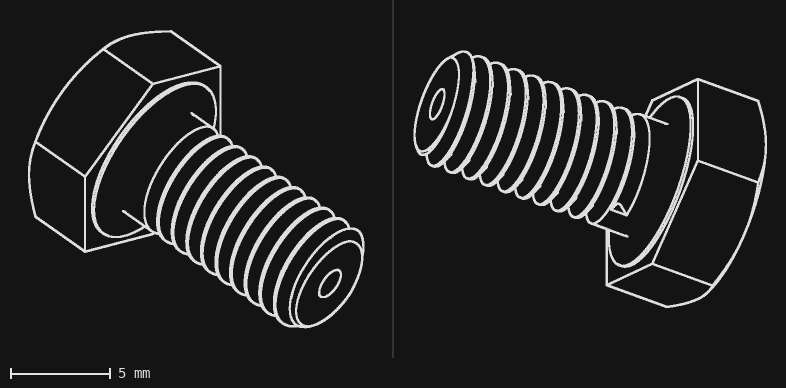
import cadquery as cq
import math

length = 16.0
across_flats = 10.0
head_height = 4.0
collar_height = 0.15
collar_diameter = 9.0
head_chamfer_angle = math.radians(30)

thread_diameter = 6.0
thread_radius = thread_diameter / 2
neck_fillet = 0.13
tip_chamfer = 0.5
hole_diameter = 1.6

pitch = 1.0
flank_angle = math.radians(30)
crest_width = pitch / 8
root_round = 0.15
thread_start = 5.75
cutter_overshoot = 0.1
shank_seam_angle = 45


def make_head():
    """Hexagonal head with points on Z and its outer corners trimmed by a cone."""
    corner_radius = across_flats / 2 / math.cos(math.pi / 6)
    hexagon_height = head_height - collar_height
    hexagon = (
        cq.Workplane("YZ")
        .polygon(6, 2 * corner_radius)
        .extrude(hexagon_height)
        .rotate((0, 0, 0), (1, 0, 0), 90)
    )
    face_radius = across_flats / 2
    cone_radius = face_radius + hexagon_height / math.tan(head_chamfer_angle)
    corner_trim = (
        cq.Workplane("XY")
        .polyline([(0, 0), (0, face_radius), (hexagon_height, cone_radius), (hexagon_height, 0)])
        .close()
        .revolve(360, (0, 0, 0), (1, 0, 0))
    )
    return hexagon.intersect(corner_trim)


def make_shank():
    """Bearing collar and plain shank, with a filleted neck and a chamfered tip."""
    collar_start = head_height - collar_height
    arc_offset = neck_fillet * (1 - math.sqrt(0.5))
    return (
        cq.Workplane("XY")
        .moveTo(collar_start, 0)
        .lineTo(collar_start, collar_diameter / 2)
        .lineTo(head_height, collar_diameter / 2)
        .lineTo(head_height, thread_radius + neck_fillet)
        .threePointArc(
            (head_height + arc_offset, thread_radius + arc_offset),
            (head_height + neck_fillet, thread_radius),
        )
        .lineTo(length - tip_chamfer, thread_radius)
        .lineTo(length, thread_radius - tip_chamfer)
        .lineTo(length, 0)
        .close()
        .revolve(360, (0, 0, 0), (1, 0, 0))
        .rotate((0, 0, 0), (1, 0, 0), shank_seam_angle)
    )


def make_thread_groove():
    """Right-hand helical groove with straight flanks and a rounded root."""
    groove_half_width = (pitch - crest_width) / 2
    apex_radius = thread_radius - groove_half_width / math.tan(flank_angle)
    round_centre = apex_radius + root_round / math.sin(flank_angle)
    tangent_radius = round_centre - root_round * math.sin(flank_angle)
    tangent_half_width = root_round * math.cos(flank_angle)
    outer_radius = thread_radius + cutter_overshoot
    outer_half_width = groove_half_width + cutter_overshoot * math.tan(flank_angle)

    helix = cq.Wire.makeHelix(pitch, length - thread_start + pitch, thread_radius)
    groove = (
        cq.Workplane("XZ")
        .moveTo(outer_radius, -outer_half_width)
        .lineTo(tangent_radius, -tangent_half_width)
        .threePointArc((round_centre - root_round, 0), (tangent_radius, tangent_half_width))
        .lineTo(outer_radius, outer_half_width)
        .close()
        .sweep(cq.Workplane(helix), isFrenet=True)
    )
    return groove.rotate((0, 0, 0), (0, 1, 0), 90).translate((thread_start, 0, 0))


threaded_shank = make_shank().cut(make_thread_groove())
axial_hole = cq.Workplane("YZ").circle(hole_diameter / 2).extrude(length)
result = make_head().union(threaded_shank).cut(axial_hole)